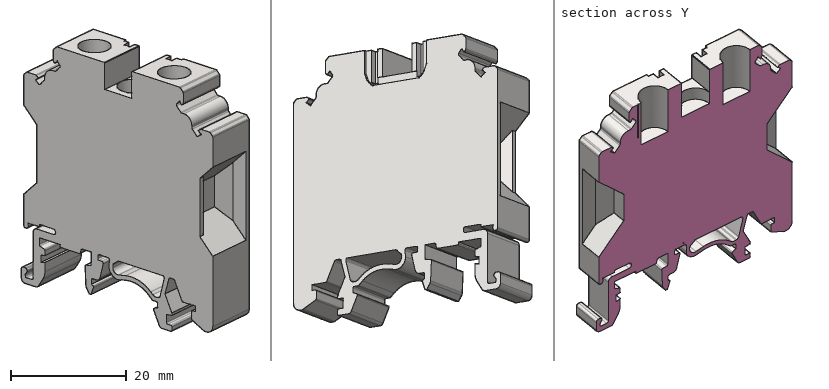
import cadquery as cq
import math


THICKNESS = 9.95
FRONT_Y = -THICKNESS / 2
BACK_Y = THICKNESS / 2
TOP_Z = 46.65
WALL_X = 21.23
HOOK_X = -21.8

SLOT_HALF_WIDTH = 3.05
SLOT_FLOOR_Z = 41.55
SLOT_EDGE_CHAMFER = 0.1
SHOULDER_X = 14.6
SHELF_Z = 40.03
BASE_Z = 10.05
SMALL_ROUND = 0.25
BASE_ROUND = 0.35
TOP_CHAMFER = 0.75
SHELF_CHAMFER = 0.65
CHAMFER_ROUND = 0.33

ARM_X = -19.13
ARM_INNER_X = -17.75
ARM_TOOTH_X = -16.45
ARM_TOP_Z = 11.0
ARM_BOTTOM_Z = 9.5
SLIT_TOP_Z = 12.05
SLIT_END_X = -14.1
SLIT_ROUND = 0.45
PAD_Z = 9.0

FUNNEL_MID_Z = 25.2
MOUTH_HEIGHT = 16.8
MOUTH_DEPTH = 2.9
FUNNEL_DEPTH = 5.45
MOUTH_BACK_Y = FRONT_Y + 9.0
THROAT_FRONT_Y = FRONT_Y + 1.0
FLOOR_FRONT_Y = FRONT_Y + 1.7
FLOOR_BACK_Y = FRONT_Y + 7.1

HOLE_Y = FRONT_Y + 4.4
SIDE_HOLE_X = 8.95
SIDE_HOLE_DIAMETER = 5.8
SIDE_HOLE_DEPTH = 9.35
MIDDLE_HOLE_DIAMETER = 6.0
MIDDLE_HOLE_DEPTH = 2.5

RECESS_FLOOR_Z = 40.1
RECESS_DEPTH = 0.5
RECESS_HALF_WIDTH = 6.45
RECESS_RIM_Z = 42.45
RECESS_KNEE_X = 5.92
RECESS_KNEE_Z = 41.15
CHANNEL_DEPTH = 0.65
CHANNEL_HALF_WIDTH = 4.9
NOTCH_DEPTH = 1.85
NOTCH_INNER_X = 4.05
NOTCH_OUTER_X = 5.35
NOTCH_BEVEL = 0.33
NOTCH_FLOOR_Z = 40.6


def rounded_outline(corners):
    """Closed XZ wire through (x, z, radius) corners, each rounded by a tangent arc."""
    wire = None
    for i, (x, z, radius) in enumerate(corners):
        before = corners[i - 1]
        after = corners[(i + 1) % len(corners)]
        to_before = cq.Vector(before[0] - x, before[1] - z).normalized()
        to_after = cq.Vector(after[0] - x, after[1] - z).normalized()
        corner = cq.Vector(x, z)
        half_angle = to_before.getAngle(to_after) / 2
        reach = radius / math.tan(half_angle)
        start = (corner + to_before * reach).toTuple()[:2]
        end = (corner + to_after * reach).toTuple()[:2]
        wire = wire.lineTo(*start) if wire else cq.Workplane("XZ").moveTo(*start)
        if radius > 0:
            bisector = (to_before + to_after).normalized()
            gap = radius / math.sin(half_angle) - radius
            wire = wire.threePointArc((corner + bisector * gap).toTuple()[:2], end)
    return wire.close()


def prism(corners, y_from=FRONT_Y, y_to=BACK_Y):
    """Rounded XZ outline extruded from y_from to y_to."""
    return rounded_outline(corners).extrude(y_from - y_to).translate((0, y_from, 0))


def mirrored(corners):
    """Corners mirrored about x = 0, in reverse order so that the outline continues."""
    return [(-x, z, radius) for x, z, radius in reversed(corners)]


left_shoulder = [
    (-SLOT_HALF_WIDTH, SLOT_FLOOR_Z, 0),
    (-SLOT_HALF_WIDTH, TOP_Z - SLOT_EDGE_CHAMFER, 0),
    (-SLOT_HALF_WIDTH - SLOT_EDGE_CHAMFER, TOP_Z, 0),
    (-SHOULDER_X + TOP_CHAMFER, TOP_Z, CHAMFER_ROUND),
    (-SHOULDER_X, TOP_Z - TOP_CHAMFER, CHAMFER_ROUND),
    (-SHOULDER_X, 43.7, 0.4),
    (-14.25, 43.4, 0),
    (-13.7, 44.0, 0),
    (-12.95, 43.1, SMALL_ROUND),
    (-14.15, 41.9, SMALL_ROUND),
    (-16.5, 41.9, 1.75),
    (-16.5, 39.65, 0.4),
    (-17.75, 38.4, 0),
    (-18.55, 39.05, 0),
    (-17.95, 39.6, 0),
    (-18.45, SHELF_Z, SMALL_ROUND),
    (-WALL_X + SHELF_CHAMFER, SHELF_Z, CHAMFER_ROUND),
    (-WALL_X, SHELF_Z - SHELF_CHAMFER, CHAMFER_ROUND),
]

lip_and_slit = [
    (-WALL_X, 10.5, 0.4),
    (-20.5, 10.5, 0.25),
    (-20.15, 10.95, SMALL_ROUND),
    (-20.3, 11.55, 0),
    (ARM_INNER_X, 11.55, 0),
    (ARM_INNER_X, SLIT_TOP_Z, SMALL_ROUND),
    (SLIT_END_X, SLIT_TOP_Z, SLIT_ROUND),
    (SLIT_END_X, ARM_TOP_Z, SLIT_ROUND),
]

hook_arm = [
    (ARM_X, ARM_TOP_Z, 0.85),
    (ARM_X, 1.15, 0.35),
    (-20.8, 1.15, 0.2),
    (-20.9, 1.73, SMALL_ROUND),
    (-20.35, 2.45, SMALL_ROUND),
    (-20.7, 3.0, SMALL_ROUND),
    (HOOK_X, 3.0, 0.45),
    (HOOK_X, 0, 0.9),
    (-18.15, 0, 0.7),
    (ARM_TOOTH_X, 2.6, 2.8),
    (ARM_TOOTH_X, 5.2, 0),
    (-17.3, 5.0, 0),
    (-17.3, 6.3, 0),
    (ARM_TOOTH_X, 6.5, 0),
    (ARM_TOOTH_X, 7.6, SMALL_ROUND),
    (ARM_INNER_X, 8.02, SMALL_ROUND),
    (ARM_INNER_X, ARM_BOTTOM_Z, SMALL_ROUND),
]

pad = [
    (-13.1, ARM_BOTTOM_Z, 0),
    (-13.1, PAD_Z, SMALL_ROUND),
    (-8.55, PAD_Z, SMALL_ROUND),
    (-8.3, BASE_Z, 0.35),
]

finger = [
    (-6.1, BASE_Z, 0),
    (-6.1, 7.4, SMALL_ROUND),
    (-7.45, 7.25, SMALL_ROUND),
    (-7.3, 3.15, 0.95),
    (-6.55, 2.0, 0),
    (-6.1, 2.0, 0),
    (-5.5, 3.65, SMALL_ROUND),
    (-5.95, 4.0, 0),
    (-5.95, 5.1, SMALL_ROUND),
    (-4.25, 5.1, 0.95),
    (-3.25, 8.95, 0.33),
    (-4.55, 8.95, SMALL_ROUND),
    (-4.55, BASE_Z, BASE_ROUND),
]

spring_foot = [
    (-1.95, BASE_Z, BASE_ROUND),
    (-2.2, 6.05, 1.85),
    (4.6, 7.4, 6.05),
    (7.7, 4.7, SMALL_ROUND),
    (8.8, 4.7, SMALL_ROUND),
    (8.8, 3.65, 0),
    (7.85, 3.2, SMALL_ROUND),
    (9.38, 0, 0.7),
    (12.05, 0, SMALL_ROUND),
    (12.05, 1.15, SMALL_ROUND),
    (10.85, 1.15, SMALL_ROUND),
    (10.85, 2.95, 0),
    (12.05, 3.1, 0),
    (12.05, 3.55, 0),
    (10.5, 6.7, 0),
    (11.45, BASE_Z, BASE_ROUND),
]

right_leg = [
    (12.6, BASE_Z, BASE_ROUND),
    (14.35, 6.3, SMALL_ROUND),
    (17.3, 6.3, 0),
    (17.3, 5.25, 0),
    (16.45, 5.25, SMALL_ROUND),
    (16.45, 3.5, SMALL_ROUND),
    (19.35, 2.1, 0.7),
    (WALL_X, 2.1, 1.4),
]

profile = (
    left_shoulder + lip_and_slit + hook_arm + pad
    + finger + spring_foot + right_leg + mirrored(left_shoulder)
)

spring_window = [
    (0, BASE_Z, 0),
    (-1.2, 9.1, 0.4),
    (-1.2, 7.2, 1.05),
    (4.85, 8.3, 6.75),
    (8.2, 5.45, 1.15),
    (9.35, 5.7, 0.55),
    (10.45, BASE_Z, BASE_ROUND),
]


def wire_funnel():
    """Left-hand wire entry: a mouth open to the front, then a tapered throat."""
    throat_height = MOUTH_HEIGHT - 2 * MOUTH_DEPTH
    floor_height = MOUTH_HEIGHT - 2 * FUNNEL_DEPTH
    throat_x = -WALL_X + MOUTH_DEPTH
    mouth = prism(
        [
            (-WALL_X, FUNNEL_MID_Z - MOUTH_HEIGHT / 2, 0),
            (throat_x, FUNNEL_MID_Z - throat_height / 2, 0),
            (throat_x, FUNNEL_MID_Z + throat_height / 2, 0),
            (-WALL_X, FUNNEL_MID_Z + MOUTH_HEIGHT / 2, 0),
        ],
        FRONT_Y,
        MOUTH_BACK_Y,
    )
    throat_mid_y = (THROAT_FRONT_Y + MOUTH_BACK_Y) / 2
    floor_mid_y = (FLOOR_FRONT_Y + FLOOR_BACK_Y) / 2
    throat = (
        cq.Workplane("YZ", origin=(throat_x, throat_mid_y, FUNNEL_MID_Z))
        .rect(MOUTH_BACK_Y - THROAT_FRONT_Y, throat_height)
        .workplane(offset=FUNNEL_DEPTH - MOUTH_DEPTH)
        .center(floor_mid_y - throat_mid_y, 0)
        .rect(FLOOR_BACK_Y - FLOOR_FRONT_Y, floor_height)
        .loft(ruled=True)
    )
    return mouth.union(throat)


def screw_hole(x, top_z, diameter, depth):
    """Blind vertical hole cutter."""
    return cq.Workplane(origin=(x, HOLE_Y, top_z)).circle(diameter / 2).extrude(-depth)


def marker_recess():
    """Shallow bowl in the back face with a deeper channel and two snap notches."""
    left_bowl = [
        (-RECESS_HALF_WIDTH, TOP_Z, 0),
        (-RECESS_HALF_WIDTH, RECESS_RIM_Z, 0),
        (-RECESS_KNEE_X, RECESS_KNEE_Z, 0),
        (-CHANNEL_HALF_WIDTH, RECESS_FLOOR_Z, 0),
    ]
    recess = prism(left_bowl + mirrored(left_bowl), BACK_Y - RECESS_DEPTH, BACK_Y)
    channel_height = SLOT_FLOOR_Z - RECESS_FLOOR_Z
    channel = cq.Workplane(origin=(0, BACK_Y - CHANNEL_DEPTH / 2, RECESS_FLOOR_Z)).box(
        2 * CHANNEL_HALF_WIDTH, CHANNEL_DEPTH, channel_height, centered=(True, True, False)
    )
    left_notch = [
        (-NOTCH_OUTER_X, TOP_Z, 0),
        (-NOTCH_OUTER_X, NOTCH_FLOOR_Z + NOTCH_BEVEL, 0),
        (-NOTCH_OUTER_X + NOTCH_BEVEL, NOTCH_FLOOR_Z, 0),
        (-NOTCH_INNER_X, NOTCH_FLOOR_Z, 0),
        (-NOTCH_INNER_X, TOP_Z, 0),
    ]
    recess = recess.union(channel)
    for notch in (left_notch, mirrored(left_notch)):
        recess = recess.union(prism(notch, BACK_Y - NOTCH_DEPTH, BACK_Y))
    return recess


body = prism(profile).cut(prism(spring_window))

left_funnel = wire_funnel()
body = body.cut(left_funnel).cut(left_funnel.mirror("YZ"))

for side in (-1, 1):
    body = body.cut(screw_hole(side * SIDE_HOLE_X, TOP_Z, SIDE_HOLE_DIAMETER, SIDE_HOLE_DEPTH))
body = body.cut(screw_hole(0, SLOT_FLOOR_Z, MIDDLE_HOLE_DIAMETER, MIDDLE_HOLE_DEPTH))

result = body.cut(marker_recess())